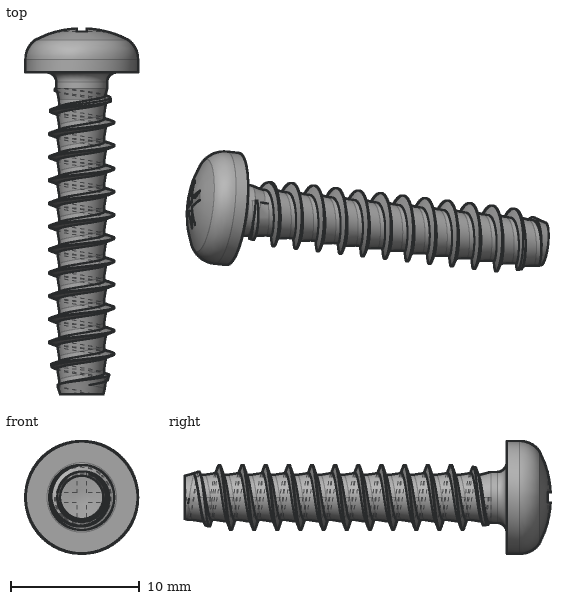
import cadquery as cq
import math


total_length = 28.45
head_height = 3.45
head_radius = 8.8 / 2
head_rim_height = 1.02
head_rim_chamfer = 0.05
dome_edge_radius = 3.6
dome_drop = 0.9
dome_sphere_radius = (dome_edge_radius**2 + dome_drop**2) / (2 * dome_drop)
recess_width = 0.77
recess_depth = 0.23


def dome_sag(radius):
    """Drop of the dome below its apex at a given distance from the axis."""
    return dome_sphere_radius - math.sqrt(dome_sphere_radius**2 - radius**2)


dome_apex = -head_height - dome_sag(recess_width / math.sqrt(2))

shank_length = total_length - head_height
neck_radius = 2.0
neck_fillet = 0.7
neck_end = 1.22
core_radius = 1.75
core_start = 2.08
tip_radius = 1.68
tip_dimple_depth = 0.15

full_turns = 12
full_turns_length = 21.6
pitch = full_turns_length / full_turns
thread_start = 1.17
runout_turns = 1.5
thread_turns = full_turns + runout_turns
crest_radius = 2.53
crest_half_width = 0.03
root_offset = 0.3
ramp_start = 0.25
ramp_radius = 1.9
ramp_end = 1.2
ridge_embed = 0.1
ramp_embed = 0.009
neck_fade_radius = 2.08
neck_fade_length = 2.15
tip_fade_length = 2.85
envelope_clearance = 0.03


def revolve_about_axis(profile):
    """Revolve an (R, Z) profile drawn on the XZ plane about the Z axis."""
    return profile.close().revolve(360, (0, 0, 0), (0, 1, 0))


def make_head():
    """Domed head and filleted neck as one revolved body."""
    dome_middle_radius = dome_edge_radius / 2
    profile = (
        cq.Workplane("XZ")
        .moveTo(0, core_start)
        .lineTo(core_radius, core_start)
        .lineTo(neck_radius, neck_end)
        .lineTo(neck_radius, neck_fillet)
        .tangentArcPoint((neck_radius + neck_fillet, 0), relative=False)
        .lineTo(head_radius - head_rim_chamfer, 0)
        .lineTo(head_radius, -head_rim_chamfer)
        .lineTo(head_radius, -head_rim_height)
        .tangentArcPoint((dome_edge_radius, dome_apex + dome_drop), relative=False)
        .threePointArc((dome_middle_radius, dome_apex + dome_sag(dome_middle_radius)), (0, dome_apex))
    )
    return revolve_about_axis(profile)


def make_ridge():
    """Full-height helical ridge, sunk slightly into the core."""
    inner_radius = core_radius - ridge_embed
    section = (
        cq.Workplane("XZ")
        .moveTo(inner_radius, -root_offset)
        .lineTo(crest_radius, -crest_half_width)
        .lineTo(crest_radius, crest_half_width)
        .lineTo(ramp_radius, ramp_start)
        .lineTo(core_radius - ramp_embed, ramp_end)
        .lineTo(inner_radius, ramp_end)
        .close()
    )
    helix = cq.Wire.makeHelix(pitch, thread_turns * pitch, core_radius)
    ridge = section.sweep(cq.Workplane(obj=helix), isFrenet=True)
    return ridge.rotate((0, 0, 0), (0, 0, 1), 180).translate((0, 0, thread_start))


def make_shaft_envelope():
    """Revolved limit that fades the thread in at the neck and out at the hollow conical tip."""
    full_radius = crest_radius + envelope_clearance
    profile = (
        cq.Workplane("XZ")
        .moveTo(0, neck_fillet)
        .lineTo(neck_radius, neck_fillet)
        .lineTo(neck_radius, neck_end)
        .lineTo(neck_fade_radius, neck_end)
        .lineTo(full_radius, neck_end + neck_fade_length)
        .lineTo(full_radius, shank_length - tip_fade_length)
        .lineTo(tip_radius, shank_length)
        .lineTo(0, shank_length - tip_dimple_depth)
    )
    return revolve_about_axis(profile)


def make_cross_recess():
    """Two crossing flat-bottomed slots over the crown of the dome."""
    slot_length = 2 * head_radius
    slot = cq.Workplane("XY").box(slot_length, recess_width, 2 * recess_depth)
    cross = slot.union(slot.rotate((0, 0, 0), (0, 0, 1), 90))
    return cross.translate((0, 0, -head_height))


core = cq.Workplane("XY").circle(core_radius).extrude(shank_length + pitch)
shaft = core.union(make_ridge()).intersect(make_shaft_envelope())
screw = make_head().union(shaft).cut(make_cross_recess())

result = screw.rotate((0, 0, 0), (1, 0, 0), 90)